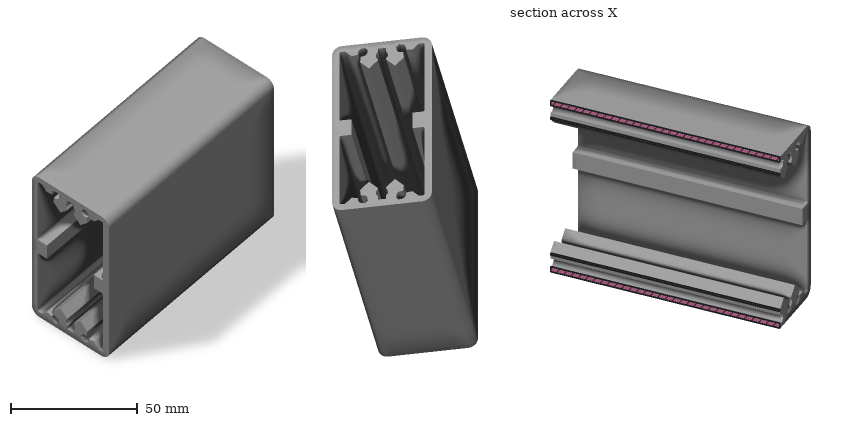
import cadquery as cq

width = 40.0
length = 100.0
height = 80.0
wall = 2.9
outer_radius = 4.0
inner_radius = 0.7

rib_reach = 4.9
rib_height = 7.6

groove_width = 3.3
groove_floor = 3.2
groove_center_depth = 6.6
groove_radius = 2.4

channel_x = 7.7
channel_depth = 4.2
channel_radius = 1.9
notch_width = 2.0
notch_reach = 2.1
channel_angle = 45.0

tip_x = 5.2
tip_depth = 12.4
barb_x = 8.8
jaw_x = 8.5
lip_jaw_depth = 5.1
lip_x = 12.2
lip_depth = 5.5

inner_width = width - 2 * wall
inner_height = height - 2 * wall
window_height = (inner_height - rib_height) / 2

barb_depth = tip_depth - (barb_x - tip_x)
lug_root_depth = tip_depth - tip_x
lip_foot_x = lip_x + lip_depth - wall


def box(x_size, z_size):
    return cq.Workplane("XY").box(x_size, length, z_size)


def rod(radius, x, depth):
    """Full-length cylinder at the given place in the profile."""
    axis = cq.Workplane("XZ").center(x, height / 2 - depth)
    return axis.circle(radius).extrude(length / 2, both=True)


def make_tube():
    """Rounded tube with a rib left between two rounded windows on each side."""
    tube = box(width, height).edges("|Y").fillet(outer_radius)
    for side in (-1, 1):
        window_z = side * (rib_height + window_height) / 2
        window = box(inner_width, window_height).edges("|Y").fillet(inner_radius)
        tube = tube.cut(window.translate((0, 0, window_z)))
    rib_gap = box(inner_width - 2 * rib_reach, 2 * rib_height)
    return tube.cut(rib_gap)


def make_lug():
    """Lug and lip on the +X half of the top wall, before its channels are cut."""
    profile = [
        (0, wall / 2),
        (0, lug_root_depth),
        (tip_x, tip_depth),
        (barb_x, barb_depth),
        (jaw_x, channel_depth + channel_radius),
        (channel_x, channel_depth + channel_radius),
        (channel_x + channel_radius, channel_depth),
        (channel_x + channel_radius, lip_jaw_depth),
        (lip_x, lip_depth),
        (lip_foot_x, wall),
        (lip_foot_x, wall / 2),
    ]
    points = [(x, height / 2 - depth) for x, depth in profile]
    return cq.Workplane("XZ").polyline(points).close().extrude(length / 2, both=True)


def make_channel():
    """Round channel with a shallow square notch on its closed side."""
    notch = box(notch_reach, notch_width).translate((-notch_reach / 2, 0, 0))
    notch = notch.rotate((0, 0, 0), (0, 1, 0), channel_angle)
    notch = notch.translate((channel_x, 0, height / 2 - channel_depth))
    return rod(channel_radius, channel_x, channel_depth).union(notch)


def make_groove():
    """Central groove, open downward past the lug tips."""
    slot_height = tip_depth - groove_floor
    slot = box(groove_width, slot_height)
    slot = slot.translate((0, 0, height / 2 - groove_floor - slot_height / 2))
    return slot.union(rod(groove_radius, 0, groove_center_depth))


def both_sides(half):
    return half.union(half.mirror("YZ"))


lugs = both_sides(make_lug())
cavities = both_sides(make_channel()).union(make_groove())

tube = make_tube()
result = tube.union(lugs).union(lugs.mirror("XY"))
result = result.cut(cavities).cut(cavities.mirror("XY"))